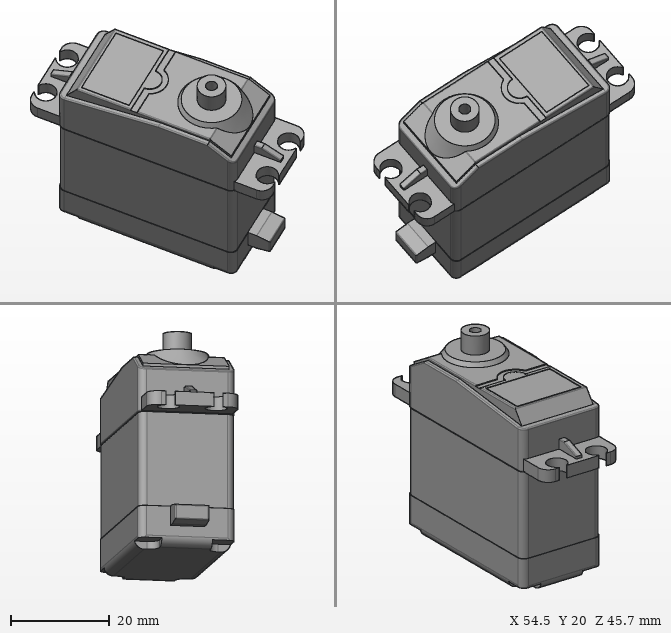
import cadquery as cq


case_length = 40.0
case_width = 20.0
corner_radius = 1.5
middle_inset = 0.1
lower_seam_z = 8.2
upper_seam_z = 27.6
bottom_edge_radius = 2.0

pocket_inset = 2.6
pocket_radius = 2.1
pocket_height = 1.6

rim_low_z = 37.35
rim_high_z = 39.85
rim_end_z = 36.45
rim_edge_radius = 0.25
cap_width = 17.9
cap_left_x = -18.4
cap_right_x = 18.8
cap_top_left_x = -16.1
ramp_end_x = 2.85
drop_start_x = 13.95
cap_top_z = 40.45
cap_edge_radius = 0.2

label_left_x = -15.5
label_right_x = -4.75
label_width = 15.95
label_depth = 0.1
groove_left_x = -3.9
groove_right_x = -2.45
groove_inner_radius = 2.5
groove_outer_radius = 3.75
groove_depth = 0.2

shaft_x = 10.0
shaft_diameter = 5.85
shaft_top_z = 45.65
shaft_bore_diameter = 2.4
boss_top_z = 41.4
boss_top_radius = 6.15
boss_base_z = 37.7
boss_base_radius = 8.8

ear_span = 54.5
ear_width = 18.85
ear_bottom_z = 27.75
ear_top_z = 30.6
ear_corner_radius = 2.5
ear_hole_x = 25.0
ear_hole_y = 4.95
ear_hole_diameter = 4.5
ear_slot_width = 1.9

gusset_width = 1.45
gusset_tip_x = 26.0
gusset_tip_z = 31.2
gusset_flat_end_x = 21.7
gusset_top_z = 32.8
gusset_edge_radius = 0.15

cable_width = 7.05
cable_end_x = 24.95
cable_taper_x = 21.9
cable_bottom_z = 4.2
cable_end_inset = 0.5
cable_edge_radius = 0.2


def extrude_across(points, width):
    """Extrude an XZ outline along Y, centred on the XZ plane."""
    return cq.Workplane("XZ").polyline(points).close().extrude(width / 2, both=True)


def rounded_block(bottom_z, top_z, inset=0):
    """Block with rounded upright edges, set in from the case sides."""
    return (
        cq.Workplane("XY")
        .workplane(offset=bottom_z)
        .rect(case_length - 2 * inset, case_width - 2 * inset)
        .extrude(top_z - bottom_z)
        .edges("|Z")
        .fillet(corner_radius)
    )


def lower_case():
    rounded_bottom = (
        cq.Workplane("XY")
        .rect(case_length, case_width)
        .extrude(lower_seam_z)
        .faces("<Z")
        .edges()
        .fillet(bottom_edge_radius)
    )
    case = rounded_block(0, lower_seam_z).intersect(rounded_bottom)
    for side_x in (-1, 1):
        for side_y in (-1, 1):
            case = case.cut(corner_pocket(side_x, side_y))
    return case


def corner_pocket(side_x, side_y):
    """Round screw pocket opened out to both outer faces of its corner."""
    center_x = side_x * (case_length / 2 - pocket_inset)
    center_y = side_y * (case_width / 2 - pocket_inset)
    reach = pocket_inset + pocket_radius
    offset = (pocket_inset - pocket_radius) / 2
    floor = cq.Workplane("XY")
    hole = floor.center(center_x, center_y).circle(pocket_radius).extrude(pocket_height)
    along_x = (
        floor.center(center_x + side_x * pocket_inset / 2, center_y + side_y * offset)
        .rect(pocket_inset, reach)
        .extrude(pocket_height)
    )
    along_y = (
        floor.center(center_x + side_x * offset, center_y + side_y * pocket_inset / 2)
        .rect(reach, pocket_inset)
        .extrude(pocket_height)
    )
    return hole.union(along_x).union(along_y)


def upper_case():
    half_length = case_length / 2
    outline = [
        (-half_length, upper_seam_z),
        (-half_length, rim_low_z),
        (cap_left_x, rim_low_z),
        (ramp_end_x, rim_high_z),
        (drop_start_x, rim_high_z),
        (half_length, rim_end_z),
        (half_length, upper_seam_z),
    ]
    block = rounded_block(upper_seam_z, rim_high_z)
    case = block.intersect(extrude_across(outline, case_width))
    top_edges = case.faces("not (#Z or <Z)").edges("not |Y")
    return top_edges.fillet(rim_edge_radius)


def cap():
    rim_slope = (rim_high_z - rim_end_z) / (case_length / 2 - drop_start_x)
    right_z = cap_top_z - rim_slope * (cap_right_x - drop_start_x)
    outline = [
        (cap_left_x, upper_seam_z),
        (cap_left_x, rim_low_z),
        (cap_top_left_x, cap_top_z),
        (drop_start_x, cap_top_z),
        (cap_right_x, right_z),
        (cap_right_x, upper_seam_z),
    ]
    body = extrude_across(outline, cap_width)
    body = body.faces(">Z").edges().fillet(cap_edge_radius)
    label = (
        cq.Workplane("XY")
        .workplane(offset=cap_top_z - label_depth)
        .center((label_left_x + label_right_x) / 2, 0)
        .rect(label_right_x - label_left_x, label_width)
        .extrude(label_depth)
    )
    return body.cut(label).cut(groove())


def groove():
    """Straight groove across the cap that bends around a half disc."""
    floor = cq.Workplane("XY").workplane(offset=cap_top_z - groove_depth)
    strip = (
        floor.center((groove_left_x + groove_right_x) / 2, 0)
        .rect(groove_right_x - groove_left_x, case_width)
        .extrude(groove_depth)
    )
    bend = floor.center(groove_left_x, 0).circle(groove_outer_radius).extrude(groove_depth)
    disc = floor.center(groove_left_x, 0).circle(groove_inner_radius).extrude(groove_depth)
    left_side = (
        floor.center(groove_left_x - groove_outer_radius, 0)
        .rect(2 * groove_outer_radius, case_width)
        .extrude(groove_depth)
    )
    return strip.union(bend).cut(disc).cut(left_side)


def output_shaft():
    boss = (
        cq.Workplane("XZ")
        .polyline([
            (0, boss_base_z),
            (boss_base_radius, boss_base_z),
            (boss_top_radius, boss_top_z),
            (0, boss_top_z),
        ])
        .close()
        .revolve(360, (0, 0, 0), (0, 1, 0))
        .translate((shaft_x, 0, 0))
    )
    shaft_height = shaft_top_z - boss_top_z
    shaft = (
        cq.Workplane("XY")
        .workplane(offset=boss_top_z)
        .center(shaft_x, 0)
        .circle(shaft_diameter / 2)
        .circle(shaft_bore_diameter / 2)
        .extrude(shaft_height)
    )
    return boss.union(shaft)


def ears():
    thickness = ear_top_z - ear_bottom_z
    base = cq.Workplane("XY").workplane(offset=ear_bottom_z)
    plate = base.rect(ear_span, ear_width).extrude(thickness).edges("|Z").fillet(ear_corner_radius)
    slot_length = ear_span / 2 - ear_hole_x
    for side_x in (-1, 1):
        for side_y in (-1, 1):
            spot = base.center(side_x * ear_hole_x, side_y * ear_hole_y)
            plate = plate.cut(spot.circle(ear_hole_diameter / 2).extrude(thickness))
            slot = spot.center(side_x * slot_length / 2, 0).rect(slot_length, ear_slot_width)
            plate = plate.cut(slot.extrude(thickness))
    return plate


def gussets():
    """Both gussets as one bar that runs through the case."""
    outline = [
        (-gusset_tip_x, ear_bottom_z),
        (-gusset_tip_x, gusset_tip_z),
        (-gusset_flat_end_x, gusset_top_z),
        (gusset_flat_end_x, gusset_top_z),
        (gusset_tip_x, gusset_tip_z),
        (gusset_tip_x, ear_bottom_z),
    ]
    bar = extrude_across(outline, gusset_width)
    return bar.edges("(not |Y) and (not <Z)").fillet(gusset_edge_radius)


def cable_relief():
    outline = [
        (0, cable_bottom_z),
        (cable_taper_x, cable_bottom_z),
        (cable_end_x, cable_bottom_z + cable_end_inset),
        (cable_end_x, lower_seam_z - cable_end_inset),
        (cable_taper_x, lower_seam_z),
        (0, lower_seam_z),
    ]
    relief = extrude_across(outline, cable_width)
    return relief.faces(">X").edges().fillet(cable_edge_radius)


result = (
    lower_case()
    .union(rounded_block(lower_seam_z, upper_seam_z, middle_inset))
    .union(upper_case())
    .union(cap())
    .union(output_shaft())
    .union(ears())
    .union(gussets())
    .union(cable_relief())
)